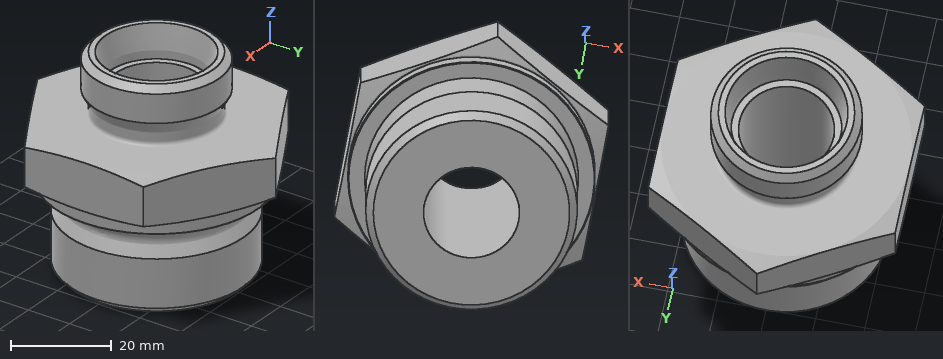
import cadquery as cq
import math

total_height = 48.0
hex_bottom = 23.0
hex_height = 11.0
hex_top = hex_bottom + hex_height
collar_height = 3.0
collar_bottom = hex_bottom - collar_height

hex_across_corners = 57.75
hex_face_radius = 24.9
hex_chamfer_angle = math.radians(15)
hex_trim_margin = 0.6

undercut_angle = math.radians(30)

stud_radius = 41.9 / 2
stud_shoulder = 12.6
collar_radius = 49.0 / 2
collar_edge = 0.2
groove_root_radius = 19.1
groove_root_height = stud_shoulder + (stud_radius - groove_root_radius) / math.tan(undercut_angle)
groove_mouth_radius = 21.2
groove_fillet = 1.5

end_chamfer = 1.5
upper_radius = 30.0 / 2
neck_radius = 27.0 / 2
upper_stud_length = 8.1
upper_thread_bottom = total_height - upper_stud_length
neck_top = upper_thread_bottom - (upper_radius - neck_radius) / math.tan(undercut_angle)
neck_top_fillet = 1.0
neck_base_fillet = 1.05

bore_radius = 19.0 / 2
socket_radius = 22.0 / 2
socket_depth = 7.5
mouth_radius = 24.35 / 2
cone_half_angle = math.radians(12)
cone_depth = (mouth_radius - socket_radius) / math.tan(cone_half_angle)


def fillet_circle(body, height, radius):
    """Round the circular edges that lie at one height on the axis."""
    tolerance = 0.005
    low = (-tolerance, -tolerance, height - tolerance)
    high = (tolerance, tolerance, height + tolerance)
    return body.edges(cq.selectors.BoxSelector(low, high)).fillet(radius)


def revolve_about_z(profile):
    return profile.close().revolve(360, (0, 0, 0), (0, 1, 0))


def lower_stud():
    profile = (
        cq.Workplane("XZ")
        .lineTo(stud_radius - end_chamfer, 0)
        .lineTo(stud_radius, end_chamfer)
        .lineTo(stud_radius, stud_shoulder)
        .lineTo(groove_root_radius, groove_root_height)
        .lineTo(groove_mouth_radius, collar_bottom)
        .lineTo(collar_radius - collar_edge, collar_bottom)
        .lineTo(collar_radius, collar_bottom + collar_edge)
        .lineTo(collar_radius, hex_bottom)
        .lineTo(0, hex_bottom)
    )
    return fillet_circle(revolve_about_z(profile), groove_root_height, groove_fillet)


def hexagon():
    blank = (
        cq.Workplane("XY", origin=(0, 0, hex_bottom))
        .polygon(6, hex_across_corners)
        .extrude(hex_height)
        .rotate((0, 0, 0), (0, 0, 1), 90)
    )
    rim_radius = hex_across_corners / 2 + hex_trim_margin
    chamfer_drop = (rim_radius - hex_face_radius) * math.tan(hex_chamfer_angle)
    envelope = (
        cq.Workplane("XZ")
        .moveTo(0, hex_bottom)
        .lineTo(hex_face_radius, hex_bottom)
        .lineTo(rim_radius, hex_bottom + chamfer_drop)
        .lineTo(rim_radius, hex_top - chamfer_drop)
        .lineTo(hex_face_radius, hex_top)
        .lineTo(0, hex_top)
    )
    return blank.intersect(revolve_about_z(envelope))


def upper_stud():
    foot_radius = neck_radius + neck_base_fillet
    foot_top = hex_top + neck_base_fillet
    arc_offset = neck_base_fillet * (1 - math.sqrt(0.5))
    profile = (
        cq.Workplane("XZ")
        .moveTo(0, hex_top)
        .lineTo(foot_radius, hex_top)
        .threePointArc((neck_radius + arc_offset, hex_top + arc_offset), (neck_radius, foot_top))
        .lineTo(neck_radius, neck_top)
        .lineTo(upper_radius, upper_thread_bottom)
        .lineTo(upper_radius, total_height - end_chamfer)
        .lineTo(upper_radius - end_chamfer, total_height)
        .lineTo(0, total_height)
    )
    return fillet_circle(revolve_about_z(profile), neck_top, neck_top_fillet)


def bore():
    socket_floor = total_height - socket_depth
    profile = (
        cq.Workplane("XZ")
        .lineTo(bore_radius, 0)
        .lineTo(bore_radius, socket_floor)
        .lineTo(socket_radius, socket_floor)
        .lineTo(socket_radius, total_height - cone_depth)
        .lineTo(mouth_radius, total_height)
        .lineTo(0, total_height)
    )
    return revolve_about_z(profile)


result = lower_stud().union(hexagon()).union(upper_stud()).cut(bore())